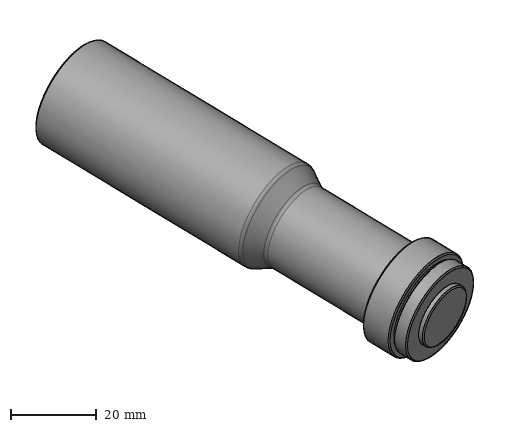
import cadquery as cq
import math

total_length = 111.3
body_start = -total_length / 2
body_length = 61.3
head_start = body_start + 97.7
head_end = head_start + 8.0
disc_start = head_end + 0.6
disc_end = body_start + 109.9
tip_end = body_start + total_length

body_radius = 14.0
neck_radius = 11.0
relief_radius = 12.4
disc_radius = 12.7
tip_radius = 8.2

taper_angle = math.radians(30)
blend_radius = 2.0
edge_chamfer = 0.3

taper_start = body_start + body_length
taper_end = taper_start + (body_radius - neck_radius) / math.tan(taper_angle)


def cylinder(start, end, radius):
    """Solid cylinder on the X axis between two stations."""
    return cq.Workplane("YZ", origin=(start, 0, 0)).circle(radius).extrude(end - start)


def blend(corner_x, corner_radius, side):
    """Three profile points of an arc tangent to a cylinder and the taper.

    side is +1 for the convex corner and -1 for the concave one.
    """
    tangent = blend_radius * math.tan(taper_angle / 2)
    first_x = corner_x - tangent
    last_x = corner_x + tangent
    if side > 0:
        arc_start = first_x
        direction = 1
    else:
        arc_start = last_x
        direction = -1

    def arc_point(angle):
        along = blend_radius * math.sin(angle)
        drop = blend_radius * (1 - math.cos(angle))
        return (arc_start + direction * along, corner_radius - side * drop)

    points = [arc_point(0), arc_point(taper_angle / 2), arc_point(taper_angle)]
    return points[::side]


body_blend = blend(taper_start, body_radius, 1)
neck_blend = blend(taper_end, neck_radius, -1)
shank = (
    cq.Workplane("XY")
    .moveTo(body_start, 0)
    .lineTo(body_start, body_radius - edge_chamfer)
    .lineTo(body_start + edge_chamfer, body_radius)
    .lineTo(*body_blend[0])
    .threePointArc(body_blend[1], body_blend[2])
    .lineTo(*neck_blend[0])
    .threePointArc(neck_blend[1], neck_blend[2])
    .lineTo(head_start, neck_radius)
    .lineTo(head_start, 0)
    .close()
    .revolve(360, (0, 0, 0), (1, 0, 0))
)

head = cylinder(head_start, head_end, body_radius).edges().chamfer(edge_chamfer)

relief = cylinder(head_end, disc_start, relief_radius)
disc = cylinder(disc_start, disc_end, disc_radius).faces(">X").edges().chamfer(edge_chamfer)
tip = cylinder(disc_end, tip_end, tip_radius).faces(">X").edges().chamfer(edge_chamfer)

result = shank.union(head).union(relief).union(disc).union(tip)